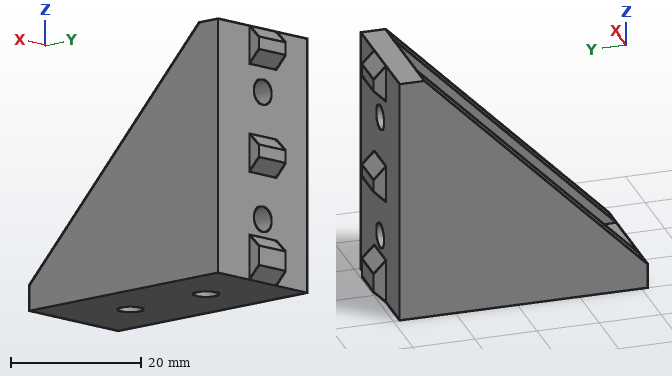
import cadquery as cq

width = 20.0
leg = 40.0
plate = 4.0
corner_chamfer = 0.85

hole_diameter = 4.0
upright_hole_heights = (10.0, 30.0)
base_hole_positions = (12.0, 28.0)

key_width = 6.0
key_depth = 2.0
key_length = 6.0
bottom_key_length = 7.1
middle_key_center = leg / 2


def side_profile(points, thickness):
    """Extrude a YZ outline symmetrically about the middle of the width."""
    return cq.Workplane("YZ").polyline(points).close().extrude(thickness / 2, both=True)


def make_body():
    body = side_profile(
        [(0, 0), (leg, 0), (leg, leg), (leg - plate, leg), (0, plate)], width
    )
    inner_face = leg - plate
    pocket = side_profile(
        [
            (0, plate),
            (inner_face - corner_chamfer, plate),
            (inner_face, plate + corner_chamfer),
            (inner_face, leg),
            (0, leg),
        ],
        width - 2 * plate,
    )
    return body.cut(pocket)


def make_key(bottom, length):
    return side_profile(
        [
            (leg, bottom),
            (leg + key_depth, bottom + key_depth),
            (leg + key_depth, bottom + length - key_depth),
            (leg, bottom + length),
        ],
        key_width,
    )


def make_hole(start, direction):
    """Cylinder through one plate, starting on its inner face."""
    return cq.Workplane(
        cq.Solid.makeCylinder(hole_diameter / 2, plate, cq.Vector(*start), cq.Vector(*direction))
    )


result = make_body()

for height in upright_hole_heights:
    result = result.cut(make_hole((0, leg - plate, height), (0, 1, 0)))
for position in base_hole_positions:
    result = result.cut(make_hole((0, position, plate), (0, 0, -1)))

result = result.union(make_key(0, bottom_key_length))
result = result.union(make_key(middle_key_center - key_length / 2, key_length))
result = result.union(make_key(leg - key_length, key_length))